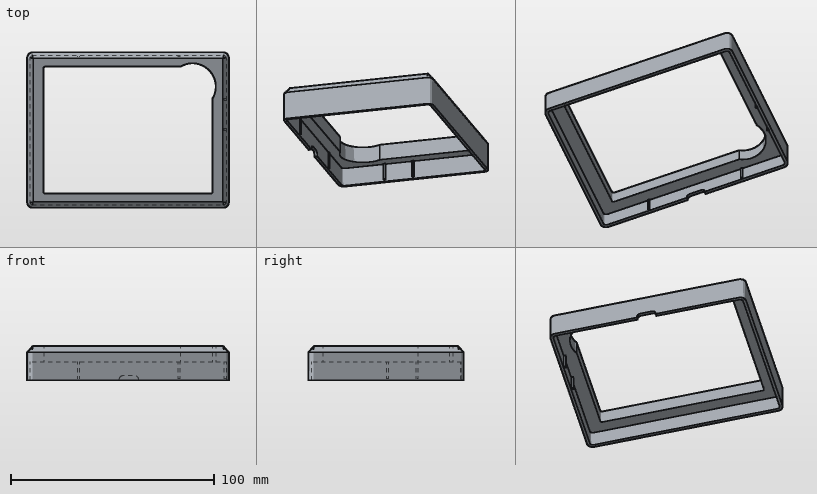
import cadquery as cq
import math

length = 99.5
width = 76.7
height = 17.0
corner_radius = 3.0
chamfer_drop = 3.3
chamfer_inset = 3.0

wall = 1.5
pocket_depth = 9.1
pocket_radius = corner_radius - wall

side_margin = 8.2
end_margin = 7.2
window_radius = 0.8
window_half_length = length / 2 - side_margin
window_half_width = width / 2 - end_margin

relief_radius = 11.4
relief_x = 31.7
relief_y = 21.4

notch_length = 9.6
notch_diameter = 4.0
notch_x = 0.3
notch_z = 0.5

rib_width = 1.0
rib_bottom = 1.0
back_rib_projection = 0.4
back_rib_x = (-24.5, 25.0)
right_rib_projection = 1.0
right_rib_y = (0.5, 15.1)


def make_shell():
    """Solid outer block with rounded upright edges and a bevelled top rim."""
    block = cq.Workplane("XY").rect(length, width).extrude(height)
    block = block.edges("|Z").fillet(corner_radius)
    return block.faces(">Z").edges().chamfer(chamfer_drop, chamfer_inset)


def make_pocket():
    """Hollow that leaves the four side walls."""
    pocket = cq.Workplane("XY").rect(length - 2 * wall, width - 2 * wall).extrude(pocket_depth)
    return pocket.edges("|Z").fillet(pocket_radius)


def make_window():
    """Rectangular opening whose back right corner is an arc about the relief centre."""
    back_run = math.sqrt(relief_radius**2 - (window_half_width - relief_y) ** 2)
    side_run = math.sqrt(relief_radius**2 - (window_half_length - relief_x) ** 2)
    diagonal = relief_radius * math.sqrt(0.5)
    window = (
        cq.Workplane("XY")
        .moveTo(-window_half_length, -window_half_width)
        .lineTo(window_half_length, -window_half_width)
        .lineTo(window_half_length, relief_y - side_run)
        .threePointArc(
            (relief_x + diagonal, relief_y + diagonal),
            (relief_x - back_run, window_half_width),
        )
        .lineTo(-window_half_length, window_half_width)
        .close()
        .extrude(height)
    )
    rounded_corners = window.edges("|Z and <Y").add(window.edges("|Z and <X"))
    return rounded_corners.fillet(window_radius)


def make_notch():
    """Slot running in Y through the back wall only."""
    return (
        cq.Workplane("XZ", origin=(notch_x, width / 2, notch_z))
        .slot2D(notch_length, notch_diameter)
        .extrude(wall)
    )


def make_rib(x, y, size_x, size_y):
    """Upright rib from just above the rim to the pocket ceiling."""
    rib_height = pocket_depth - rib_bottom
    rib = cq.Workplane("XY").box(size_x, size_y, rib_height, centered=(True, True, False))
    return rib.translate((x, y, rib_bottom))


result = make_shell().cut(make_pocket()).cut(make_window()).cut(make_notch())

for rib_x in back_rib_x:
    result = result.union(make_rib(rib_x, width / 2 - wall, rib_width, 2 * back_rib_projection))
for rib_y in right_rib_y:
    result = result.union(make_rib(length / 2 - wall, rib_y, 2 * right_rib_projection, rib_width))